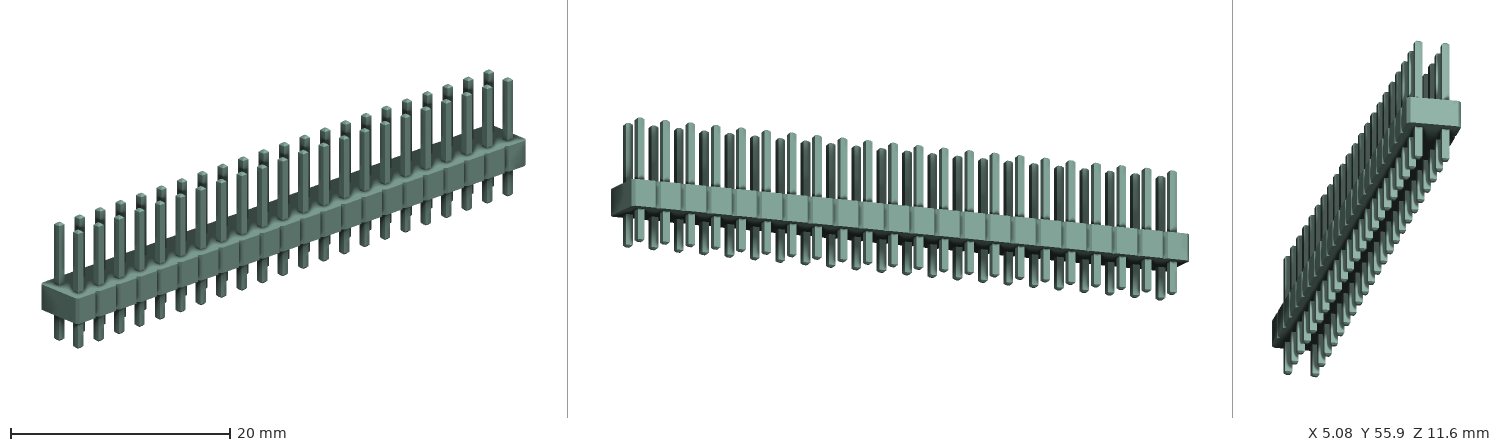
import cadquery as cq

length = 55.9
rows = 22
columns = 2
body_height = 2.5
pin_above = 6.05
pin_below = 3.0
pin_width = 0.65
tip_chamfer = pin_width / 4
corner_chamfer = 0.3

pitch = length / rows
width = columns * pitch
pin_length = pin_below + body_height + pin_above


def centred_places(count):
    """Positions of evenly pitched items centred on zero."""
    return [(index - (count - 1) / 2) * pitch for index in range(count)]


def housing():
    """A row of blocks whose chamfered corners leave V notches between neighbours."""
    block = cq.Workplane("XY").box(width, pitch, body_height, centered=(True, True, False))
    block = block.edges("|Z").chamfer(corner_chamfer)
    first_y, *other_places = centred_places(rows)
    body = block.translate((0, first_y, 0))
    for y in other_places:
        body = body.union(block.translate((0, y, 0)))
    return body.clean()


def pin():
    """A square pin on the Z axis, chamfered on all four sides at both tips."""
    blank = cq.Workplane("XY").box(pin_width, pin_width, pin_length, centered=(True, True, False))
    return blank.faces("<Z or >Z").chamfer(tip_chamfer).translate((0, 0, -pin_below))


result = housing()
single_pin = pin()
for x in centred_places(columns):
    for y in centred_places(rows):
        result = result.union(single_pin.translate((x, y, 0)))